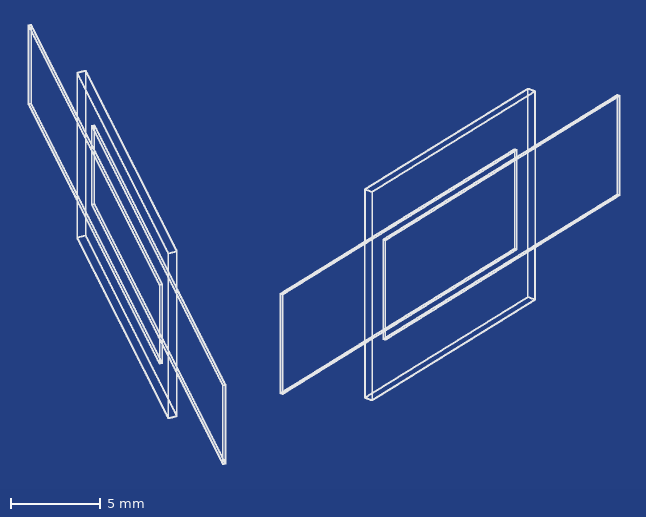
import cadquery as cq

overall_length = 30.1

plate_length = 15.0
plate_height = 13.25
plate_thickness = 0.5

strip_length = 21.52
strip_height = 6.32
strip_thickness = 0.15

strip_offset_x = (overall_length - strip_length) / 2
strip_offset_y = (plate_thickness + strip_thickness) / 2


def make_strip(side):
    """Strip on the -X, -Y side (side = -1) or the +X, +Y side (side = 1)."""
    strip = cq.Workplane("XY").box(strip_length, strip_thickness, strip_height)
    return strip.translate((side * strip_offset_x, side * strip_offset_y, 0))


result = cq.Workplane("XY").box(plate_length, plate_thickness, plate_height)
for side in (-1, 1):
    result = result.union(make_strip(side))